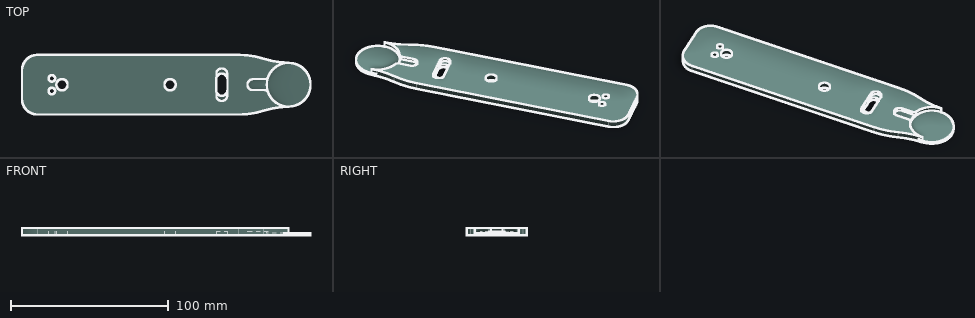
import cadquery as cq
import math

length = 182.8
width = 38.0
thickness = 4.77
corner_radius = 10.0

seat_radius = 13.9
seat_thickness = 1.5
seat_x = length - seat_radius
tip_wall = 0.15

taper_start_x = 137.25

large_hole_diameter = 7.0
large_hole_xs = (25.4, 93.8)
small_hole_diameter = 4.0
small_hole_x = 19.0
small_hole_spacing = 8.0

slot_x = 126.55
slot_width = 7.0
slot_through_length = 14.0
slot_recess_length = 20.6
slot_recess_depth = 2.4

channel_width = 7.0
channel_start_x = 142.8
channel_depth = 2.2
channel_mouth_radius = 2.0
pick_margin = 0.1


def make_plate():
    """Rounded rectangle narrowing in S-curves to the round seat."""
    half_width = width / 2
    tip_y = seat_radius + tip_wall
    taper_run = seat_x - taper_start_x
    taper_drop = half_width - tip_y
    turn = 2 * math.atan(taper_drop / taper_run)
    taper_radius = taper_run / (2 * math.sin(turn))
    half_turn_x = taper_radius * math.sin(turn / 2)
    half_turn_y = taper_radius * (1 - math.cos(turn / 2))
    middle = (taper_start_x + taper_run / 2, half_width - taper_drop / 2)
    convex = (taper_start_x + half_turn_x, half_width - half_turn_y)
    concave = (seat_x - half_turn_x, tip_y + half_turn_y)

    def mirrored(point):
        return (point[0], -point[1])

    body = (
        cq.Workplane("XY")
        .moveTo(0, half_width)
        .lineTo(taper_start_x, half_width)
        .threePointArc(convex, middle)
        .threePointArc(concave, (seat_x, tip_y))
        .lineTo(seat_x, -tip_y)
        .threePointArc(mirrored(concave), mirrored(middle))
        .threePointArc(mirrored(convex), (taper_start_x, -half_width))
        .lineTo(0, -half_width)
        .close()
        .extrude(thickness)
    )
    return body.edges("|Z and <X").fillet(corner_radius)


def make_disc(bottom_z, height):
    """Cylinder on the seat axis."""
    return cq.Workplane("XY", origin=(seat_x, 0, bottom_z)).circle(seat_radius).extrude(height)


def make_holes():
    """All round through holes."""
    large = (
        cq.Workplane("XY")
        .pushPoints([(x, 0) for x in large_hole_xs])
        .circle(large_hole_diameter / 2)
        .extrude(thickness)
    )
    small = (
        cq.Workplane("XY")
        .pushPoints([(small_hole_x, side * small_hole_spacing / 2) for side in (-1, 1)])
        .circle(small_hole_diameter / 2)
        .extrude(thickness)
    )
    return large.union(small)


def make_cross_slot():
    """Slot across the plate with a longer, shallow recess above it."""
    across = 90
    through = (
        cq.Workplane("XY", origin=(slot_x, 0, 0))
        .slot2D(slot_through_length, slot_width, across)
        .extrude(thickness)
    )
    recess = (
        cq.Workplane("XY", origin=(slot_x, 0, thickness - slot_recess_depth))
        .slot2D(slot_recess_length, slot_width, across)
        .extrude(slot_recess_depth)
    )
    return through.union(recess)


def make_channel():
    """Round-ended channel along the centreline, ending inside the seat."""
    channel_length = seat_x - channel_start_x
    channel_middle_x = (channel_start_x + seat_x) / 2
    return (
        cq.Workplane("XY", origin=(channel_middle_x, 0, thickness - channel_depth))
        .slot2D(channel_length, channel_width)
        .extrude(channel_depth)
    )


def make_seat_recess():
    """Open space above the seat together with the channel."""
    pocket = make_disc(seat_thickness, thickness - seat_thickness)
    return pocket.union(make_channel())


def round_channel_mouth(body):
    """Round the two upright corners where the channel opens into the seat."""
    half_channel = channel_width / 2
    mouth_x = seat_x - math.sqrt(seat_radius**2 - half_channel**2)
    wall_middle_z = thickness - channel_depth / 2
    corners = body.edges(
        cq.selectors.BoxSelector(
            (mouth_x - pick_margin, -half_channel - pick_margin, wall_middle_z - pick_margin),
            (mouth_x + pick_margin, half_channel + pick_margin, wall_middle_z + pick_margin),
        )
    )
    return corners.fillet(channel_mouth_radius)


seat_floor = make_disc(0, seat_thickness)
plate = make_plate().union(seat_floor).cut(make_seat_recess())
result = round_channel_mouth(plate).cut(make_holes()).cut(make_cross_slot())